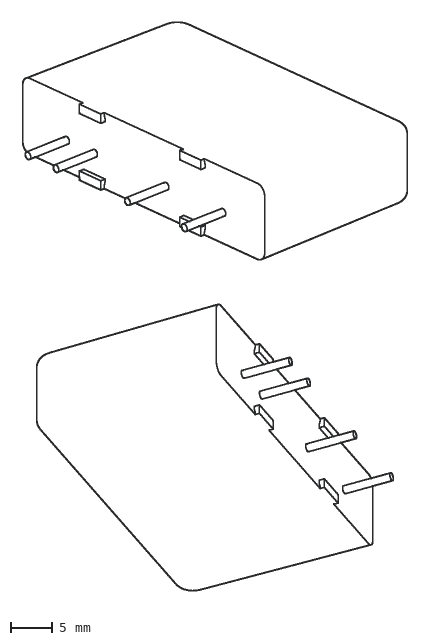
import cadquery as cq

case_width = 43.2
case_depth = 25.48
case_height = 10.25
side_draft = 0.45
back_corner_radius = 2.5
edge_radius = 1.3

rim_width = 0.3
recess_slope_width = 0.55
recess_depth = 0.15

tab_width = 3.8
tab_thickness = 1.25
tab_length = 0.55
tab_offset = 8.95

pin_diameter = 1.0
pin_length = 6.25
pin_height = -1.05
pin_positions = (-13.9, -8.9, 3.85, 14.0)


def make_case():
    front_half = case_width / 2
    back_half = front_half - side_draft
    case = (
        cq.Workplane("XY")
        .workplane(offset=-case_height / 2)
        .polyline([(-front_half, 0), (front_half, 0), (back_half, case_depth), (-back_half, case_depth)])
        .close()
        .extrude(case_height)
    )
    case = case.edges("|Z and >Y").fillet(back_corner_radius)
    return case.faces("<Z or >Z").edges("not <Y").fillet(edge_radius)


def front_outline(inset, depth):
    """Rounded rectangle parallel to the front face, inset from the case outline."""
    outline = cq.Sketch().rect(case_width - 2 * inset, case_height - 2 * inset)
    outline = outline.vertices().fillet(edge_radius - inset)
    return outline.moved(cq.Location(cq.Vector(0, 0, -depth)))


def make_recess():
    floor_inset = rim_width + recess_slope_width
    return (
        cq.Workplane("XZ")
        .placeSketch(front_outline(rim_width, 0), front_outline(floor_inset, recess_depth))
        .loft()
    )


def make_tab(x, side):
    length = tab_length + recess_depth
    z = side * (case_height - tab_thickness) / 2
    return (
        cq.Workplane("XZ", origin=(x, recess_depth, z))
        .rect(tab_width, tab_thickness)
        .extrude(length)
    )


def make_pin(x):
    return (
        cq.Workplane("XZ", origin=(x, recess_depth, pin_height))
        .circle(pin_diameter / 2)
        .extrude(pin_length + recess_depth)
    )


result = make_case().cut(make_recess())

for tab_x in (-tab_offset, tab_offset):
    for tab_side in (-1, 1):
        result = result.union(make_tab(tab_x, tab_side))

for pin_x in pin_positions:
    result = result.union(make_pin(pin_x))